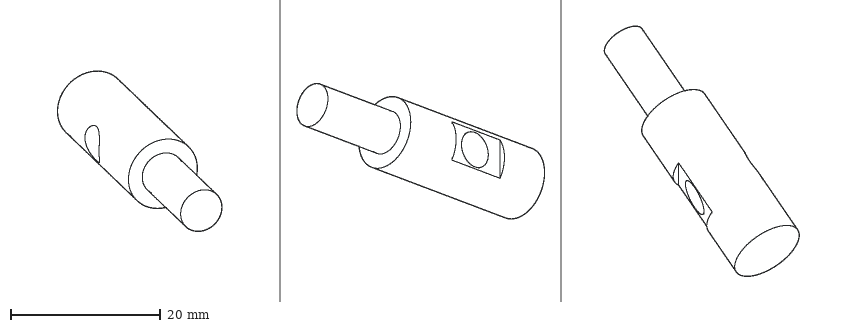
import cadquery as cq

total_length = 38.5
body_length = 25.0
body_diameter = 10.0
shank_diameter = 6.0
hole_diameter = 5.0
hole_position = 12.2
flat_start = 7.5
flat_length = 9.0
flat_depth = 0.85

body_radius = body_diameter / 2
shank_length = total_length - body_length


def stepped_pin():
    """Body and thinner shank along the X axis, starting at X = 0."""
    body = cq.Workplane("YZ").circle(body_radius).extrude(body_length)
    return body.faces(">X").workplane().circle(shank_diameter / 2).extrude(shank_length)


def cross_hole():
    """Round hole that passes through the body along Y."""
    return (
        cq.Workplane("XZ")
        .center(hole_position, 0)
        .circle(hole_diameter / 2)
        .extrude(body_radius, both=True)
    )


def side_flat():
    """Block that cuts a flat seat across the +Y side of the body."""
    block = cq.Workplane("XY").box(
        flat_length, flat_depth, body_diameter, centered=(False, False, True)
    )
    return block.translate((flat_start, body_radius - flat_depth, 0))


result = stepped_pin().cut(cross_hole()).cut(side_flat())